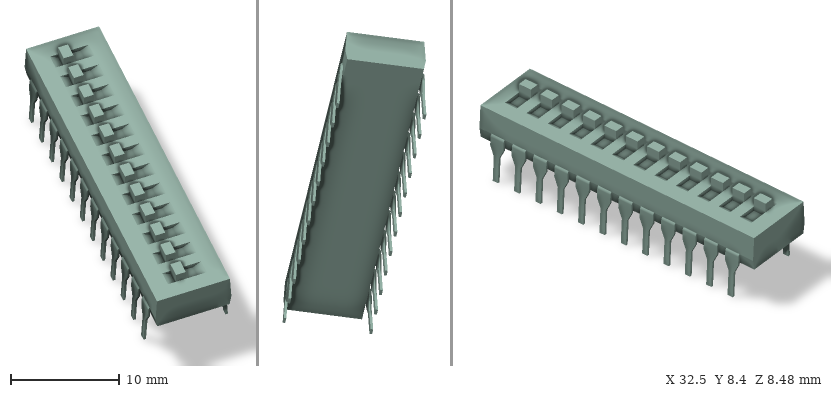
import cadquery as cq
import math


body_length = 32.5
body_height = 3.65
parting_height = 1.1
top_width = 7.25
bottom_width = 7.2
parting_width = 7.55

switch_count = 12
pitch = 2.55
row_shift = 0.08

slot_width = 1.4
slot_length = 3.85
slot_depth = 0.5
slot_floor_length = 2.25

knob_height = 0.98
knob_length = 0.98

lead_thickness = 0.245
lead_span = 8.4
shoulder_span = 7.87
bend_radius = 0.33
bend_height = 0.85
root_depth = 0.65
lead_width = 1.55
tip_width = 0.62
taper_top = -0.1
taper_bottom = -1.1
lead_bottom = -3.85

switch_positions = [
    row_shift + (i - (switch_count - 1) / 2) * pitch for i in range(switch_count)
]


def make_housing():
    section = [
        (-bottom_width / 2, 0),
        (bottom_width / 2, 0),
        (parting_width / 2, parting_height),
        (top_width / 2, body_height),
        (-top_width / 2, body_height),
        (-parting_width / 2, parting_height),
    ]
    return cq.Workplane("YZ").polyline(section).close().extrude(body_length / 2, both=True)


def make_slot():
    floor = body_height - slot_depth
    section = [
        (-slot_length / 2, body_height),
        (-slot_floor_length / 2, floor),
        (slot_floor_length / 2, floor),
        (slot_length / 2, body_height),
    ]
    return cq.Workplane("YZ").polyline(section).close().extrude(slot_width / 2, both=True)


def make_knob():
    height = slot_depth + knob_height
    block = cq.Workplane("XY").box(slot_width, knob_length, height, centered=(True, False, False))
    return block.translate((0, -slot_floor_length / 2, body_height - slot_depth))


def make_lead():
    """Lead on the +Y side: a bent strip trimmed to its tapered outline."""
    shoulder = shoulder_span / 2
    tip = lead_span / 2
    root = shoulder - bend_radius - root_depth
    bend_top = bend_height + bend_radius
    half_turn = bend_radius * math.sqrt(0.5)
    bend_start = (shoulder - bend_radius, bend_top)
    bend_middle = (shoulder - bend_radius + half_turn, bend_height + half_turn)
    root_underside = bend_top - lead_thickness
    strip = (
        cq.Workplane("YZ")
        .moveTo(root, bend_top)
        .lineTo(*bend_start)
        .threePointArc(bend_middle, (shoulder, bend_height))
        .lineTo(tip, lead_bottom)
        .lineTo(tip - lead_thickness, lead_bottom)
        .lineTo(shoulder - lead_thickness, root_underside)
        .lineTo(root, root_underside)
        .close()
        .extrude(lead_width / 2, both=True)
    )
    outline = [
        (-lead_width / 2, body_height),
        (-lead_width / 2, taper_top),
        (-tip_width / 2, taper_bottom),
        (-tip_width / 2, lead_bottom),
        (tip_width / 2, lead_bottom),
        (tip_width / 2, taper_bottom),
        (lead_width / 2, taper_top),
        (lead_width / 2, body_height),
    ]
    blank = cq.Workplane("XZ").polyline(outline).close().extrude(lead_span, both=True)
    return strip.intersect(blank)


result = make_housing()
slot = make_slot()
knob = make_knob()
back_lead = make_lead()
front_lead = back_lead.mirror("XZ")

for x in switch_positions:
    place = (x, 0, 0)
    result = result.cut(slot.translate(place))
    result = result.union(knob.translate(place))
    result = result.union(back_lead.translate(place))
    result = result.union(front_lead.translate(place))